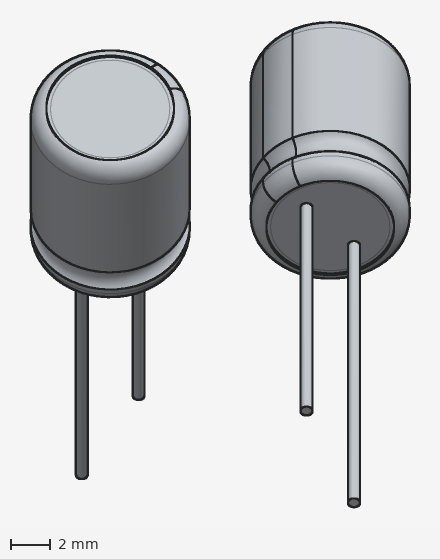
import cadquery as cq
import math

total_height = 30.5
body_height = 11.5
body_radius = 4.0
edge_radius = 1.0

sleeve_thickness = 0.12
rim_radius = 3.2
stripe_angle = 29.0

groove_bottom = 1.35
groove_top = 2.85
groove_depth = 0.4

lead_radius = 0.3
lead_spacing = 3.5
lead_length_difference = 4.0

flat_radius = body_radius - edge_radius
rim_drop = edge_radius - math.sqrt(edge_radius**2 - (rim_radius - flat_radius) ** 2)
bottom_rounding_height = edge_radius - rim_drop
top_rounding_height = body_height - bottom_rounding_height
long_lead_tip = body_height - total_height
short_lead_tip = long_lead_tip + lead_length_difference
lead_start = bottom_rounding_height - (edge_radius - sleeve_thickness)


def build_turned_form(inset):
    """Crimped, round-edged cylinder whose outer surface is moved inwards by inset."""
    rounding = edge_radius - inset
    rounding_diagonal = rounding * math.sqrt(0.5)
    side_radius = body_radius - inset
    groove_middle = (side_radius - groove_depth, (groove_bottom + groove_top) / 2)
    bottom_middle = (flat_radius + rounding_diagonal, bottom_rounding_height - rounding_diagonal)
    top_middle = (flat_radius + rounding_diagonal, top_rounding_height + rounding_diagonal)
    return (
        cq.Workplane("XZ")
        .moveTo(0, bottom_rounding_height - rounding)
        .lineTo(flat_radius, bottom_rounding_height - rounding)
        .threePointArc(bottom_middle, (side_radius, bottom_rounding_height))
        .lineTo(side_radius, groove_bottom)
        .threePointArc(groove_middle, (side_radius, groove_top))
        .lineTo(side_radius, top_rounding_height)
        .threePointArc(top_middle, (flat_radius, top_rounding_height + rounding))
        .lineTo(0, top_rounding_height + rounding)
        .close()
        .revolve(360, (0, 0, 0), (0, 1, 0))
    )


def build_full_sleeve():
    """Thin skin over the can, open inside the rim at both ends."""
    opening = (
        cq.Workplane("XY")
        .workplane(offset=-edge_radius)
        .circle(rim_radius)
        .extrude(body_height + 2 * edge_radius)
    )
    return build_turned_form(0).cut(build_turned_form(sleeve_thickness)).cut(opening)


def build_stripe_sector():
    """Wedge around the +Y direction that reaches past the sleeve."""
    reach = 2 * body_radius
    half_width = reach * math.tan(math.radians(stripe_angle / 2))
    return (
        cq.Workplane("XY")
        .workplane(offset=-edge_radius)
        .polyline([(0, 0), (half_width, reach), (-half_width, reach)])
        .close()
        .extrude(body_height + 2 * edge_radius)
    )


def build_lead(y_position, tip_height):
    """Round lead from the bottom face of the can down to its tip."""
    return (
        cq.Workplane("XY")
        .workplane(offset=tip_height)
        .center(0, y_position)
        .circle(lead_radius)
        .extrude(lead_start - tip_height)
    )


can = build_turned_form(sleeve_thickness)

full_sleeve = build_full_sleeve()
stripe_sector = build_stripe_sector()
sleeve = full_sleeve.cut(stripe_sector)
stripe = full_sleeve.intersect(stripe_sector)

leads = [
    build_lead(-lead_spacing / 2, long_lead_tip),
    build_lead(lead_spacing / 2, short_lead_tip),
]

bodies = [can, sleeve, stripe, *leads]
result = cq.Compound.makeCompound([body.solids().val() for body in bodies])